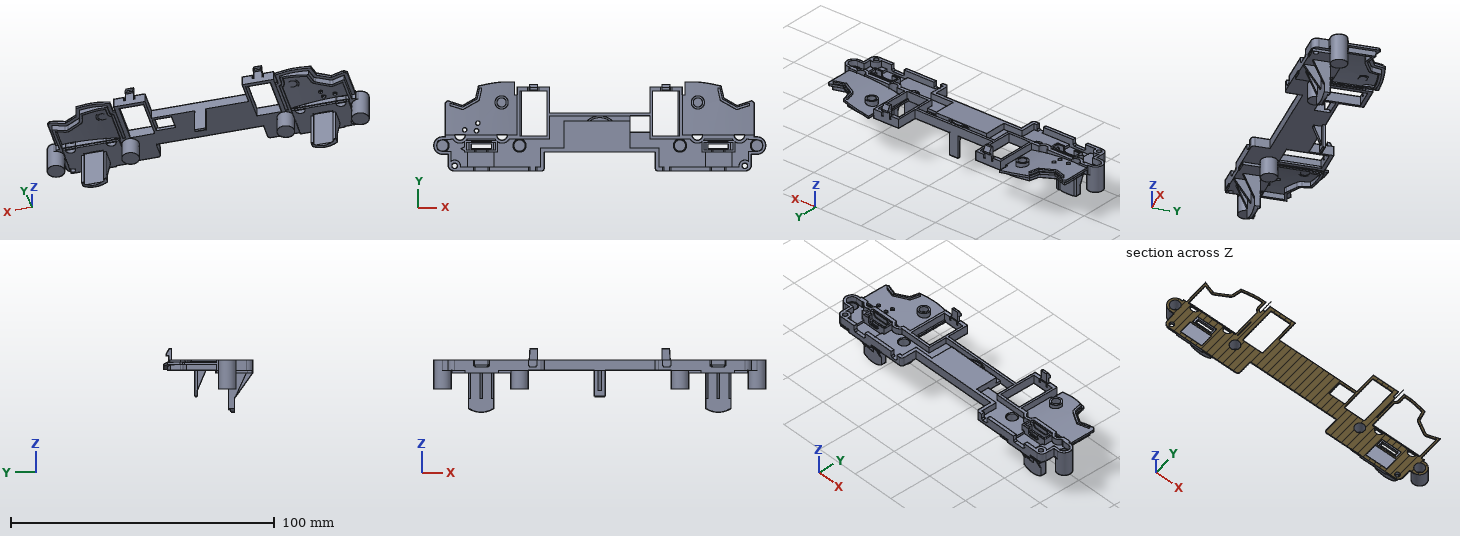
import cadquery as cq
import math

LENGTH = 125.89
DEPTH = 33.82
HEIGHT = 24.15
HOOK_TOP = 4.25
TAB_BOTTOM = HOOK_TOP - HEIGHT

TRAY_BOTTOM = -3.95
FLOOR = -2.7
PAD_BOTTOM = -5.05
PIN_BOTTOM = -11.1
LEG_BOTTOM = -14.0

OVERLAP = 0.3

PIN_R = 3.35
PIN_BORE_R = 2.15
PIN_BORE_CHAMFER = 0.35
PIN_END_WALL = 1.5
PIN_BORE_BOTTOM = PIN_BOTTOM + PIN_END_WALL
LOBE_X = -LENGTH / 2 + PIN_R
PIN_Y = 9.7
INNER_PIN_X = -30.4
TRAY_LEFT = -57.5
TRAY_RIGHT = -21.0
TRAY_BACK = 13.7
BRIDGE_FRONT = 7.2
BRIDGE_BACK = 22.1
OUTER_CORNER_R = 2.4
INNER_CORNER_R = 1.2
WALL = 1.5
RAIL = 1.15
RAIL_FRONT = BRIDGE_BACK - RAIL

CELL_LEFT = -31.3
CELL_RIGHT = -19.0
CELL_FRONT = TRAY_BACK - WALL
CELL_BACK = 31.95
CELL_WALL = 1.0
CELL_OPENING_FRONT = 13.4
CELL_OPENING_BACK = 30.35
CELL_LEDGE = 0.7
CELL_LEDGE_HEIGHT = 0.8
CELL_LEDGE_TOP = TRAY_BOTTOM + CELL_LEDGE_HEIGHT

HOOK_LEFT = -26.5
HOOK_RIGHT = -23.55
HOOK_DRAFT = 0.25
HOOK_FRONT = 30.8
HOOK_TIP_BACK = 31.75
BARB_BACK = 32.9
BARB_BOTTOM, BARB_TOP = 1.5, 2.2
HOOK_SLOT = 0.6
HOOK_SLOT_DEPTH = 1.5

WING_LEFT = -58.65
WING_RIGHT = -32.3
WING_TOP = -0.7
WING_THICKNESS = 0.9
WING_CROWN_X = -52.0
WING_BEND_R = 96.0
WING_BACK_ARC_MIDDLE = (-41.0, 33.35)
WING_BACK_ARC_END = -37.3
WING_CORNER = 0.8
CELL_GAP_FRONT = 28.9
SKIRT_INSET = 1.4
SKIRT_WALL = 1.0
NOTCH_EDGE = [(-57.6, 26.7), (-52.0, 24.9), (-47.1, 27.7), (-46.0, 32.3)]
NOTCH_RIB = [(-56.4, 25.2), (-51.9, 23.8), (-46.1, 27.1), (-45.2, 31.1)]
NOTCH_RIB_WIDTH = 0.9
WING_BOSS = (-37.2, 26.05)
WING_BOSS_R = 2.5
WING_BOSS_BORE_R = 1.75
WING_BOSS_BORE_DEPTH = 2.5
WING_HOLES = [(-46.2, 18.2), (-51.2, 15.65), (-46.7, 15.3)]
WING_HOLE_R = 0.8

CUTOUT_XS = [-52.95, -37.0]
CUTOUT_R = 1.95
CUTOUT_WALL = 1.15

SCREW = (-55.0, 2.0)
SCREW_BOSS_R = 2.2
SCREW_HOLE_R = 1.0

BOX_LEFT, BOX_RIGHT = -51.2, -38.8
BOX_FRONT, BOX_BACK = 7.2, 11.6
BOX_WALL = 0.75
BOX_WINDOW = (-48.7, 8.5, -41.1, 10.2)
BOX_FRONT_CUT = (-47.5, -42.3)
BOX_BACK_RECESS_DEPTH = 0.35
BOX_BACK_RECESS_BOTTOM = -1.9
BOX_BACK_RECESS_R = 1.4
BOX_SHELF = 0.8
BOX_SHELF_TOP = -1.4
BOX_GUSSET = [(-52.6, 8.5), (BOX_LEFT, 9.3), (BOX_LEFT, 7.7)]
RECESS_LEFT, RECESS_RIGHT = -50.2, -40.0
RECESS_DEPTH = 1.0
RECESS_FLOOR = FLOOR - RECESS_DEPTH

FRONT_NOTCHES = [(-47.8, -41.7), (-27.0, -23.8)]
NOTCH_CHAMFER = 0.6

SLAB = (-56.0, 0.4, -33.7, 14.1)
PAD_LEFT, PAD_RIGHT = -51.0, -38.4

TAB_LEFT, TAB_RIGHT = -49.8, -40.1
TAB_FRONT, TAB_BACK = 6.9, 9.3
TAB_SIDE_BOTTOM = -18.4
TAB_CHAMFER = 1.3
TAB_RIB_WIDTH = 0.9
TAB_RIB_BOTTOM = -14.6
TAB_SIDE_RIB_FRONT = 2.5
TAB_MIDDLE_RIB_FRONT = 0.1

PLATEAU_LEFT, PLATEAU_RIGHT = -13.6, 11.5
PLATEAU_BACK = 18.95
BULGES = [(4.9, RAIL_FRONT, -0.7), (3.9, 20.3, -0.3)]
WINDOW_FRONT = 14.8
LEG_HALF = 2.15
LEG_FRONT, LEG_BACK = 21.0, 22.1
LEG_CHAMFER = 0.4
LEG_RIB_HALF = 0.75
LEG_RIB_FRONT = 17.75
LEG_RIB_BOTTOM = -11.6


def block(x0, y0, z0, x1, y1, z1):
    """Box between two opposite corners."""
    return cq.Workplane("XY").box(x1 - x0, y1 - y0, z1 - z0, centered=False).translate((x0, y0, z0))


def cylinder(x, y, radius, z0, z1):
    """Upright cylinder from z0 to z1."""
    return cq.Workplane("XY", origin=(x, y, z0)).circle(radius).extrude(z1 - z0)


def profile_yz(points, x0, x1):
    """Outline in the YZ plane, extruded from x0 to x1."""
    return cq.Workplane("YZ", origin=(x0, 0, 0)).polyline(points).close().extrude(x1 - x0)


def tray_body():
    """Solid left tray and its half of the bridge, before hollowing."""
    tray = block(TRAY_LEFT, 0, TRAY_BOTTOM, TRAY_RIGHT, TRAY_BACK, 0)
    tray = tray.edges("|Z and <X and <Y").fillet(OUTER_CORNER_R)
    tray = tray.edges("|Z and >X and <Y").fillet(INNER_CORNER_R)
    lobe = cylinder(LOBE_X, PIN_Y, PIN_R, TRAY_BOTTOM, 0)
    neck = block(LOBE_X, PIN_Y - PIN_R, TRAY_BOTTOM, TRAY_LEFT, PIN_Y + PIN_R, 0)
    back_step = block(WING_LEFT, PIN_Y, TRAY_BOTTOM, TRAY_LEFT, TRAY_BACK, 0)
    bridge = block(TRAY_RIGHT - WALL, BRIDGE_FRONT, TRAY_BOTTOM, 0, BRIDGE_BACK, 0)
    cell = block(CELL_LEFT, CELL_FRONT, TRAY_BOTTOM, CELL_RIGHT, CELL_BACK, 0)
    return tray.union(lobe).union(neck).union(back_step).union(bridge).union(cell)


def tray_hollow():
    """Space above the tray floor."""
    inner_back = TRAY_BACK - WALL
    tray = block(TRAY_LEFT + RAIL, WALL, FLOOR, TRAY_RIGHT - WALL, inner_back, 0)
    lobe_r = PIN_R - RAIL
    lobe = cylinder(LOBE_X, PIN_Y, lobe_r, FLOOR, 0)
    neck = block(LOBE_X, PIN_Y - lobe_r, FLOOR, TRAY_LEFT + RAIL, PIN_Y + lobe_r, 0)
    link = block(TRAY_RIGHT - WALL, BRIDGE_FRONT + WALL, FLOOR, 0, inner_back, 0)
    bridge = block(CELL_RIGHT, inner_back, FLOOR, 0, RAIL_FRONT, 0)
    return tray.union(lobe).union(neck).union(link).union(bridge)


def cell_opening():
    """Through opening of the cell, with a ledge along its outer wall."""
    left = CELL_LEFT + CELL_WALL
    right = CELL_RIGHT - CELL_WALL
    upper = block(left, CELL_OPENING_FRONT, CELL_LEDGE_TOP, right, CELL_OPENING_BACK, 0)
    lower = block(left + CELL_LEDGE, CELL_OPENING_FRONT, TRAY_BOTTOM, right, CELL_OPENING_BACK, 0)
    return upper.union(lower)


def hook():
    """Snap hook with a barb facing +Y."""
    side = [
        (HOOK_FRONT, TRAY_BOTTOM),
        (HOOK_FRONT, HOOK_TOP),
        (HOOK_TIP_BACK, HOOK_TOP),
        (BARB_BACK, BARB_TOP),
        (BARB_BACK, BARB_BOTTOM),
        (CELL_BACK, BARB_BOTTOM),
        (CELL_BACK, TRAY_BOTTOM),
    ]
    front = [
        (HOOK_LEFT - HOOK_DRAFT, TRAY_BOTTOM),
        (HOOK_LEFT - HOOK_DRAFT, 0),
        (HOOK_LEFT, HOOK_TOP),
        (HOOK_RIGHT, HOOK_TOP),
        (HOOK_RIGHT, TRAY_BOTTOM),
    ]
    outline = cq.Workplane("XZ").polyline(front).close().extrude(-DEPTH)
    return profile_yz(side, HOOK_LEFT - HOOK_DRAFT, HOOK_RIGHT).intersect(outline)


def hook_slots():
    """Short slots that free the hook on both sides."""
    left = HOOK_LEFT - HOOK_DRAFT
    slots = block(left - HOOK_SLOT, CELL_OPENING_BACK, -HOOK_SLOT_DEPTH, left, CELL_BACK, 0)
    right = block(HOOK_RIGHT, CELL_OPENING_BACK, -HOOK_SLOT_DEPTH, HOOK_RIGHT + HOOK_SLOT, CELL_BACK, 0)
    return slots.union(right)


def wing_outline(front):
    """Plan outline of the wing from its front edge: notch at the outer back, arc along the back."""
    return (
        cq.Workplane("XY", origin=(0, 0, PAD_BOTTOM))
        .moveTo(CELL_LEFT + OVERLAP, front)
        .lineTo(WING_LEFT, front)
        .lineTo(WING_LEFT, NOTCH_EDGE[0][1] - WING_CORNER)
        .lineTo(*NOTCH_EDGE[0])
        .lineTo(*NOTCH_EDGE[1])
        .lineTo(*NOTCH_EDGE[2])
        .lineTo(*NOTCH_EDGE[3])
        .threePointArc(WING_BACK_ARC_MIDDLE, (WING_BACK_ARC_END, DEPTH))
        .lineTo(WING_RIGHT, DEPTH)
        .lineTo(WING_RIGHT, CELL_GAP_FRONT)
        .lineTo(CELL_LEFT + OVERLAP, CELL_GAP_FRONT)
        .close()
    )


def wing_section(radius, top, bottom):
    """Section below an arched surface that peaks near the outer edge and falls toward the cell."""
    x_end = CELL_LEFT + OVERLAP
    x_middle = (WING_LEFT + x_end) / 2

    def height(x):
        run = x - WING_CROWN_X
        return top - radius + math.sqrt(radius**2 - run**2)

    return (
        cq.Workplane("XZ")
        .moveTo(WING_LEFT, height(WING_LEFT))
        .threePointArc((x_middle, height(x_middle)), (x_end, height(x_end)))
        .lineTo(x_end, bottom)
        .lineTo(WING_LEFT, bottom)
        .close()
        .extrude(-DEPTH)
    )


def wing():
    """Bent wing plate with its skirt, notch rib and boss."""
    filled = wing_section(WING_BEND_R, WING_TOP, TRAY_BOTTOM)
    below = wing_section(WING_BEND_R - WING_THICKNESS, WING_TOP - WING_THICKNESS, PAD_BOTTOM)
    plate = wing_outline(TRAY_BACK - OVERLAP).extrude(-PAD_BOTTOM).intersect(filled).cut(below)
    skirt_front = TRAY_BACK - SKIRT_INSET - SKIRT_WALL
    skirt_outer = wing_outline(skirt_front).offset2D(-SKIRT_INSET).extrude(-PAD_BOTTOM)
    skirt_inner = wing_outline(skirt_front).offset2D(-SKIRT_INSET - SKIRT_WALL).extrude(-PAD_BOTTOM)
    skirt = skirt_outer.cut(skirt_inner).intersect(filled)
    rib = (
        cq.Workplane("XY", origin=(0, 0, WING_TOP - WING_THICKNESS))
        .polyline(NOTCH_RIB)
        .offset2D(NOTCH_RIB_WIDTH / 2)
        .extrude(WING_THICKNESS - WING_TOP)
    )
    boss = cylinder(*WING_BOSS, WING_BOSS_R, WING_TOP - 2 * WING_THICKNESS, 0)
    bore = cylinder(*WING_BOSS, WING_BOSS_BORE_R, -WING_BOSS_BORE_DEPTH, 0)
    return plate.union(skirt).union(rib).union(boss).cut(bore)


def chamfered_notch(y0, y1, left, right):
    """Notch through a wall, down to the tray floor, with chamfered lower corners."""
    notch = block(left, y0, FLOOR, right, y1, 0)
    return notch.edges("|Y and <Z").chamfer(NOTCH_CHAMFER)


def connector_box():
    """Walled box with end shelves, a recessed back wall and a notched front wall."""
    box = block(BOX_LEFT, BOX_FRONT, TRAY_BOTTOM, BOX_RIGHT, BOX_BACK, 0)
    left, right = BOX_LEFT + BOX_WALL, BOX_RIGHT - BOX_WALL
    front, back = BOX_FRONT + BOX_WALL, BOX_BACK - BOX_WALL
    upper = block(left, front, BOX_SHELF_TOP, right, back, 0)
    lower = block(left + BOX_SHELF, front, RECESS_FLOOR, right - BOX_SHELF, back, 0)
    x0, x1 = BOX_WINDOW[0], BOX_WINDOW[2]
    recess = block(x0, back, BOX_BACK_RECESS_BOTTOM, x1, back + BOX_BACK_RECESS_DEPTH, 0)
    recess = recess.edges("|Y and <Z").fillet(BOX_BACK_RECESS_R)
    return box.cut(upper).cut(lower).cut(recess).cut(chamfered_notch(BOX_FRONT, front, *BOX_FRONT_CUT))


def underside():
    """Thickened slab and the pad that carries the tab."""
    left, front, right, back = SLAB
    slab = block(left, front, PAD_BOTTOM, right, back, TRAY_BOTTOM)
    pad = block(PAD_LEFT, 0, PAD_BOTTOM, PAD_RIGHT, BOX_BACK, TRAY_BOTTOM)
    return slab.union(pad)


def latch_tab():
    """Downward tab with a rounded, chamfered end and three bracing ribs."""
    middle = (TAB_LEFT + TAB_RIGHT) / 2
    outline = (
        cq.Workplane("XZ")
        .moveTo(TAB_LEFT, PAD_BOTTOM)
        .lineTo(TAB_LEFT, TAB_SIDE_BOTTOM)
        .threePointArc((middle, TAB_BOTTOM), (TAB_RIGHT, TAB_SIDE_BOTTOM))
        .lineTo(TAB_RIGHT, PAD_BOTTOM)
        .close()
        .extrude(-DEPTH)
    )
    side = [
        (TAB_FRONT, PAD_BOTTOM),
        (TAB_FRONT, TAB_BOTTOM),
        (TAB_BACK - TAB_CHAMFER, TAB_BOTTOM),
        (TAB_BACK, TAB_BOTTOM + TAB_CHAMFER),
        (TAB_BACK, PAD_BOTTOM),
    ]
    tab = profile_yz(side, TAB_LEFT, TAB_RIGHT).intersect(outline)
    rib_half = TAB_RIB_WIDTH / 2
    ribs = [
        (TAB_LEFT + rib_half, TAB_SIDE_RIB_FRONT),
        (middle, TAB_MIDDLE_RIB_FRONT),
        (TAB_RIGHT - rib_half, TAB_SIDE_RIB_FRONT),
    ]
    for x, front in ribs:
        triangle = [(front, PAD_BOTTOM), (TAB_FRONT, PAD_BOTTOM), (TAB_FRONT, TAB_RIB_BOTTOM)]
        tab = tab.union(profile_yz(triangle, x - rib_half, x + rib_half))
    return tab


def pin_bore(x):
    """Blind bore of a post, chamfered where it meets the tray floor."""
    bore = cylinder(x, PIN_Y, PIN_BORE_R, PIN_BORE_BOTTOM, FLOOR)
    mouth = cq.Workplane("XY", origin=(x, PIN_Y, FLOOR)).circle(PIN_BORE_R + PIN_BORE_CHAMFER)
    return bore.union(mouth.extrude(-PIN_BORE_CHAMFER, taper=45))


def left_side():
    """Left half of the part, without the features of the bridge."""
    body = tray_body().cut(tray_hollow()).cut(cell_opening())
    body = body.cut(hook_slots()).union(hook()).union(underside())
    inside_box = block(BOX_LEFT, BOX_FRONT, RECESS_FLOOR, BOX_RIGHT, BOX_BACK, 0)
    body = body.cut(inside_box).union(connector_box())
    body = body.union(cylinder(*SCREW, SCREW_BOSS_R, TRAY_BOTTOM, 0).intersect(tray_body()))
    in_front_of_wing = block(TRAY_LEFT, 0, PAD_BOTTOM, 0, TRAY_BACK, 0)
    for x in CUTOUT_XS:
        sleeve = cylinder(x, TRAY_BACK, CUTOUT_R + CUTOUT_WALL, PAD_BOTTOM, 0)
        body = body.union(sleeve.intersect(in_front_of_wing))
    body = body.union(wing()).union(latch_tab())
    for x in CUTOUT_XS:
        opening = cylinder(x, TRAY_BACK, CUTOUT_R, PAD_BOTTOM, 0)
        body = body.cut(opening.intersect(in_front_of_wing))
    for x in (LOBE_X, INNER_PIN_X):
        body = body.union(cylinder(x, PIN_Y, PIN_R, PIN_BOTTOM, FLOOR)).cut(pin_bore(x))
    body = body.cut(cylinder(*SCREW, SCREW_HOLE_R, PAD_BOTTOM, 0))
    body = body.cut(block(RECESS_LEFT, WALL, RECESS_FLOOR, RECESS_RIGHT, BOX_FRONT, FLOOR))
    x0, y0, x1, y1 = BOX_WINDOW
    body = body.cut(block(x0, y0, TAB_BOTTOM, x1, y1, FLOOR))
    for left, right in FRONT_NOTCHES:
        body = body.cut(chamfered_notch(0, WALL, left, right))
    return body


def bridge_plateau():
    """Raised deck of the bridge with a stepped round bulge toward the back rail."""
    deck = block(PLATEAU_LEFT, BRIDGE_FRONT, TRAY_BOTTOM, PLATEAU_RIGHT, PLATEAU_BACK, 0)
    for half_width, crown, top in BULGES:
        bulge = (
            cq.Workplane("XY", origin=(0, 0, TRAY_BOTTOM))
            .moveTo(-half_width, PLATEAU_BACK)
            .threePointArc((0, crown), (half_width, PLATEAU_BACK))
            .close()
            .extrude(top - TRAY_BOTTOM)
        )
        deck = deck.union(bulge)
    return deck


def bridge_leg():
    """Leg under the back rail with a triangular rib in front."""
    leg = block(-LEG_HALF, LEG_FRONT, LEG_BOTTOM, LEG_HALF, LEG_BACK, TRAY_BOTTOM)
    leg = leg.faces("<Z").edges().chamfer(LEG_CHAMFER)
    triangle = [(LEG_RIB_FRONT, TRAY_BOTTOM), (LEG_FRONT, TRAY_BOTTOM), (LEG_FRONT, LEG_RIB_BOTTOM)]
    return leg.union(profile_yz(triangle, -LEG_RIB_HALF, LEG_RIB_HALF))


left_half = left_side()
result = left_half.union(left_half.mirror("YZ"))
result = result.union(bridge_plateau()).union(bridge_leg())
result = result.cut(block(PLATEAU_RIGHT, WINDOW_FRONT, TRAY_BOTTOM, -CELL_RIGHT, RAIL_FRONT, 0))
gusset = cq.Workplane("XY", origin=(0, 0, FLOOR)).polyline(BOX_GUSSET).close().extrude(-FLOOR)
result = result.union(gusset)
for hole_x, hole_y in WING_HOLES:
    result = result.cut(cylinder(hole_x, hole_y, WING_HOLE_R, PAD_BOTTOM, 0))